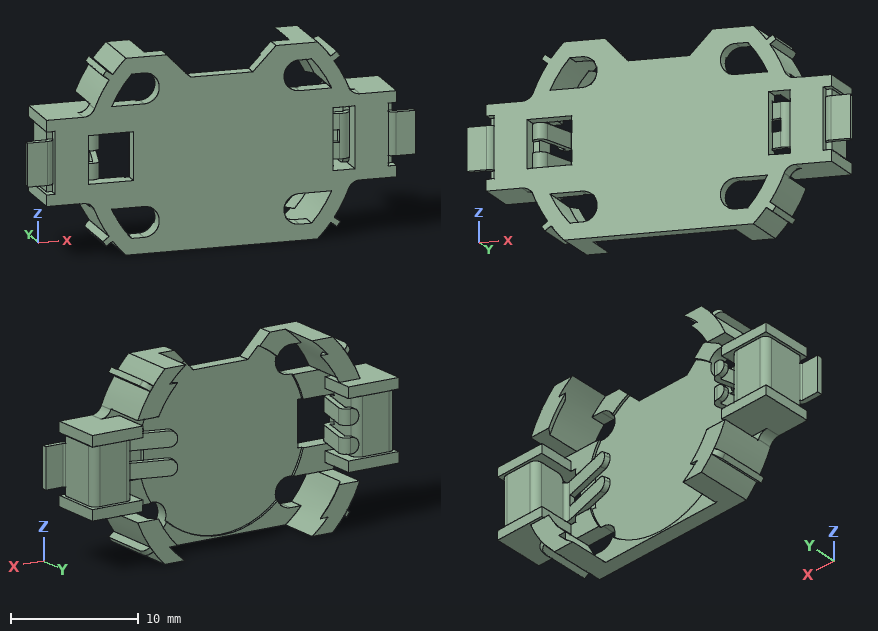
import cadquery as cq
import math

HALF_HEIGHT = 8.0
RIM_HEIGHT = 5.2
FLOOR_THICKNESS = 1.4
RIM_RADIUS = 11.2
CELL_RADIUS = 9.95
WALL_START_Z = 4.17

ARM_END_X = 14.37
ARM_HALF_WIDTH = 3.5
ARM_HEIGHT = 4.75
ARM_INNER_X = 9.62
ARM_ROOT_FILLET = 1.0

NOTCH_TOP_HALF_WIDTH = 4.45
NOTCH_BOTTOM_HALF_WIDTH = 2.55
NOTCH_BOTTOM_Z = 6.02

RECESS_RADIUS = 7.85
RECESS_DEPTH = 0.22

HOLE_TOP_Z = 6.65
HOLE_ROUND_X = 6.37
LIP_RADIUS = 9.43
LIP_START_Y = 4.45

RIB_ANGLE = 35.8
RIB_WIDTH = 0.5
RIB_PROJECTION = 0.65
RIB_END_ROUND = 0.7

LEFT_WINDOW_HALF_WIDTH = 1.98
WINDOW_LEFT_INNER_X = 7.23
WINDOW_RIGHT_INNER_X = 9.15
RELIEF_FLOOR_Y = 0.83

SHEET = 0.5
BEND_RADIUS = 0.38
WIDE_BEND_RADIUS = 0.57
CONTACT_HALF_WIDTH = 2.5
TAIL_HALF_WIDTH = 1.8
FINGER_HALF_SPAN = 1.85
FINGER_GAP = 1.02
TIP_ROUND = 0.653
TAIL_END_X = 15.93
SADDLE_END_X = 13.67
SADDLE_INNER_X = 10.93
SADDLE_TOP_Y = 4.05
SHOULDER_Y = 1.43
SHOULDER_ROUND = 0.6
SLOT_CLEARANCE = 0.05

PLATE_X = SADDLE_END_X + SHEET / 2
WEB_X = SADDLE_INNER_X - SHEET / 2
PLATE_BOTTOM_Y = SHEET / 2 + BEND_RADIUS
SLOT_HALF_WIDTH = CONTACT_HALF_WIDTH + SLOT_CLEARANCE

CURL_CORNER_Y = -1.9
CURL_TOP_X = 9.05
CURL_TIP_X = 10.3
SLOPE_CORNER_Y = 0.73
SLOPE_TIP = (4.87, 2.33)
SLOPE_GAP_START_X = 9.88


def box(x_range, y_range, z_range):
    """Axis-aligned box between the given limits."""
    (x0, x1), (y0, y1), (z0, z1) = x_range, y_range, z_range
    return cq.Workplane("XY").box(x1 - x0, y1 - y0, z1 - z0, centered=False).translate((x0, y0, z0))


def floor_plane(y):
    """Sketch plane parallel to the floor; its extrusions run toward -Y."""
    return cq.Workplane("XZ", origin=(0, y, 0))


def disc(radius, y0, y1):
    return floor_plane(y1).circle(radius).extrude(y1 - y0)


def on_four_corners(shape):
    """Copies of a +X +Z feature, mirrored into all four corners."""
    right = shape.union(shape.mirror("XY"))
    return right.union(right.mirror("YZ"))


def rim_band(y1):
    """Round outline cut off flat at the top and bottom."""
    flats = box((-RIM_RADIUS, RIM_RADIUS), (0, y1), (-HALF_HEIGHT, HALF_HEIGHT))
    return disc(RIM_RADIUS, 0, y1).intersect(flats)


def arms(height):
    return box((-ARM_END_X, ARM_END_X), (0, height), (-ARM_HALF_WIDTH, ARM_HALF_WIDTH))


def arm_root_fillet():
    """Concave corner between the arm and the rim, tangent to both."""
    centre_z = ARM_HALF_WIDTH + ARM_ROOT_FILLET
    centre_radius = RIM_RADIUS + ARM_ROOT_FILLET
    centre_x = math.sqrt(centre_radius ** 2 - centre_z ** 2)
    rim_share = RIM_RADIUS / centre_radius
    rim_point = (centre_x * rim_share, centre_z * rim_share)
    web = (
        floor_plane(FLOOR_THICKNESS)
        .moveTo(centre_x, ARM_HALF_WIDTH)
        .lineTo(centre_x, centre_z)
        .lineTo(*rim_point)
        .lineTo(rim_point[0], ARM_HALF_WIDTH)
        .close()
        .extrude(FLOOR_THICKNESS)
    )
    round_cut = (
        floor_plane(FLOOR_THICKNESS)
        .center(centre_x, centre_z)
        .circle(ARM_ROOT_FILLET)
        .extrude(FLOOR_THICKNESS)
    )
    return web.cut(round_cut)


def curved_walls():
    gap = box((-RIM_RADIUS, RIM_RADIUS), (0, RIM_HEIGHT), (-WALL_START_Z, WALL_START_Z))
    return rim_band(RIM_HEIGHT).cut(gap)


def notch():
    return (
        floor_plane(FLOOR_THICKNESS)
        .polyline([
            (-NOTCH_TOP_HALF_WIDTH, HALF_HEIGHT),
            (-NOTCH_BOTTOM_HALF_WIDTH, NOTCH_BOTTOM_Z),
            (NOTCH_BOTTOM_HALF_WIDTH, NOTCH_BOTTOM_Z),
            (NOTCH_TOP_HALF_WIDTH, HALF_HEIGHT),
        ])
        .close()
        .extrude(FLOOR_THICKNESS)
    )


def teardrop_hole():
    """Round toward the middle, bounded outside by the cell radius."""
    round_radius = (HOLE_TOP_Z - WALL_START_Z) / 2
    round_z = WALL_START_Z + round_radius
    round_end = (
        floor_plane(FLOOR_THICKNESS)
        .center(HOLE_ROUND_X, round_z)
        .circle(round_radius)
        .extrude(FLOOR_THICKNESS)
    )
    straight = box((HOLE_ROUND_X, CELL_RADIUS), (0, FLOOR_THICKNESS), (WALL_START_Z, HOLE_TOP_Z))
    return round_end.union(straight).intersect(disc(CELL_RADIUS, 0, FLOOR_THICKNESS))


def snap_lip():
    """Wedge on the inside of the wall that narrows the opening toward the rim."""
    ring = (
        cq.Workplane("XY")
        .polyline([(CELL_RADIUS, LIP_START_Y), (CELL_RADIUS, RIM_HEIGHT), (LIP_RADIUS, RIM_HEIGHT)])
        .close()
        .revolve(360, (0, 0, 0), (0, 1, 0))
    )
    return ring.intersect(box((0, CELL_RADIUS), (0, RIM_HEIGHT), (WALL_START_Z, HOLE_TOP_Z)))


def rim_rib():
    """Radial rib on the outside of the wall, rounded at its upper outer edge."""
    root = RIM_RADIUS - RIB_WIDTH
    tip = RIM_RADIUS + RIB_PROJECTION
    rib = box((root, tip), (0, RIM_HEIGHT), (-RIB_WIDTH / 2, RIB_WIDTH / 2))
    rib = rib.edges(">X and >Y").fillet(RIB_END_ROUND)
    return rib.rotate((0, 0, 0), (0, 1, 0), -RIB_ANGLE)


def contact_seat():
    """Space in the +X arm that the contact wraps through, around a rounded saddle."""
    slot_z = (-SLOT_HALF_WIDTH, SLOT_HALF_WIDTH)
    end_slot = box((SADDLE_END_X, ARM_END_X), (0, ARM_HEIGHT), slot_z)
    top_slot = box((0, ARM_END_X), (FLOOR_THICKNESS, ARM_HEIGHT), slot_z)
    saddle = box((SADDLE_INNER_X, SADDLE_END_X), (0, SADDLE_TOP_Y), slot_z)
    saddle = saddle.edges(">Y and |Z").fillet(BEND_RADIUS - SHEET / 2)
    return end_slot.union(top_slot).cut(saddle)


def floor_windows():
    """Openings for the fingers, and the relief that lets the sloping pair rise."""
    through = (0, FLOOR_THICKNESS)
    narrow_z = (-LEFT_WINDOW_HALF_WIDTH, LEFT_WINDOW_HALF_WIDTH)
    wide_z = (-SLOT_HALF_WIDTH, SLOT_HALF_WIDTH)
    left = box((-SADDLE_INNER_X, -WINDOW_LEFT_INNER_X), through, narrow_z)
    right = box((WINDOW_RIGHT_INNER_X, SADDLE_INNER_X), through, wide_z)
    relief_y = (RELIEF_FLOOR_Y, FLOOR_THICKNESS)
    relief = box((WINDOW_LEFT_INNER_X, WINDOW_RIGHT_INNER_X), relief_y, narrow_z)
    return left.union(right).union(relief)


def make_housing():
    cell_space = disc(CELL_RADIUS, FLOOR_THICKNESS, RIM_HEIGHT)
    arm_gap = box(
        (-ARM_INNER_X, ARM_INNER_X), (0, ARM_HEIGHT), (-ARM_HALF_WIDTH, ARM_HALF_WIDTH)
    )
    body = curved_walls().cut(cell_space).union(arms(ARM_HEIGHT).cut(arm_gap))
    body = body.union(rim_band(FLOOR_THICKNESS)).union(arms(FLOOR_THICKNESS))
    body = body.union(on_four_corners(arm_root_fillet()))
    body = body.union(on_four_corners(rim_rib()))
    body = body.union(on_four_corners(snap_lip()))
    body = body.cut(on_four_corners(teardrop_hole()))
    body = body.cut(notch())
    body = body.cut(disc(RECESS_RADIUS, FLOOR_THICKNESS - RECESS_DEPTH, FLOOR_THICKNESS))
    body = body.cut(contact_seat()).cut(contact_seat().mirror("YZ"))
    return body.cut(floor_windows())


def bent_strip(path, bend_radius, half_width):
    """Sheet strip that follows the mid-thickness corners in path, bent at each one."""
    headings = [
        math.atan2(end[1] - start[1], end[0] - start[0])
        for start, end in zip(path, path[1:])
    ]

    def polar(point, distance, angle):
        return (point[0] + distance * math.cos(angle), point[1] + distance * math.sin(angle))

    def bend_arc(corner, heading_in, heading_out, offset):
        """Start, middle and end of one bend, on the surface offset to the left."""
        turn = math.remainder(heading_out - heading_in, math.tau)
        side = math.copysign(math.pi / 2, turn)
        tangent_length = bend_radius * math.tan(abs(turn) / 2)
        centre = polar(polar(corner, -tangent_length, heading_in), bend_radius, heading_in + side)
        radius = bend_radius - offset * math.copysign(1, turn)
        return [polar(centre, -radius, heading_in + share * turn + side) for share in (0, 0.5, 1)]

    def surface(offset):
        """End points and bends of one face of the sheet."""
        first = polar(path[0], offset, headings[0] + math.pi / 2)
        last = polar(path[-1], offset, headings[-1] + math.pi / 2)
        bends = [bend_arc(*bend, offset) for bend in zip(path[1:-1], headings, headings[1:])]
        return first, bends, last

    first, bends, last = surface(SHEET / 2)
    profile = cq.Workplane("XY", origin=(0, 0, -half_width)).moveTo(*first)
    for start, middle, end in bends:
        profile = profile.lineTo(*start).threePointArc(middle, end)
    profile = profile.lineTo(*last)

    first, bends, last = surface(-SHEET / 2)
    profile = profile.lineTo(*last)
    for start, middle, end in reversed(bends):
        profile = profile.lineTo(*end).threePointArc(middle, start)
    return profile.lineTo(*first).close().extrude(2 * half_width)


def contact_clip():
    """Solder tail, end plate, saddle strip and web, for the +X arm."""
    saddle_y = SADDLE_TOP_Y + SHEET / 2
    tail_path = [(TAIL_END_X, SHEET / 2), (PLATE_X, SHEET / 2), (PLATE_X, SHOULDER_Y)]
    clip_path = [
        (PLATE_X, PLATE_BOTTOM_Y),
        (PLATE_X, saddle_y),
        (WEB_X, saddle_y),
        (WEB_X, SHOULDER_Y),
    ]
    clip = bent_strip(clip_path, BEND_RADIUS, CONTACT_HALF_WIDTH)
    for z in (-CONTACT_HALF_WIDTH, CONTACT_HALF_WIDTH):
        shoulder = cq.selectors.NearestToPointSelector((WEB_X, SHOULDER_Y, z))
        clip = clip.edges(shoulder).fillet(SHOULDER_ROUND)
    return clip.union(bent_strip(tail_path, BEND_RADIUS, TAIL_HALF_WIDTH))


def finger_pair(path, bend_radius, gap_start_x):
    """Two round-tipped fingers, split by a gap on the inner side of gap_start_x."""
    gap_z = (-FINGER_GAP / 2, FINGER_GAP / 2)
    gap = box((0, gap_start_x), (0, RIM_HEIGHT), gap_z)
    fingers = bent_strip(path, bend_radius, FINGER_HALF_SPAN).cut(gap)
    for z in (-FINGER_HALF_SPAN, gap_z[0], gap_z[1], FINGER_HALF_SPAN):
        tip_corner = cq.selectors.NearestToPointSelector((*path[-1], z))
        fingers = fingers.edges(tip_corner).fillet(TIP_ROUND)
    return fingers


def make_side_contact():
    """Contact of the -X arm: fingers turn up and curl back toward the arm."""
    tip_y = RIM_HEIGHT - SHEET / 2
    path = [
        (WEB_X, SHOULDER_Y + SHEET),
        (WEB_X, CURL_CORNER_Y),
        (CURL_TOP_X, tip_y),
        (CURL_TIP_X, tip_y),
    ]
    fingers = finger_pair(path, BEND_RADIUS, SADDLE_INNER_X)
    return contact_clip().union(fingers).mirror("YZ")


def make_base_contact():
    """Contact of the +X arm: fingers slope up over the floor toward the middle."""
    path = [(WEB_X, SHOULDER_Y + SHEET), (WEB_X, SLOPE_CORNER_Y), SLOPE_TIP]
    fingers = finger_pair(path, WIDE_BEND_RADIUS, SLOPE_GAP_START_X)
    return contact_clip().union(fingers)


housing = make_housing()
side_contact = make_side_contact()
base_contact = make_base_contact()

result = cq.Compound.makeCompound([housing.val(), side_contact.val(), base_contact.val()])